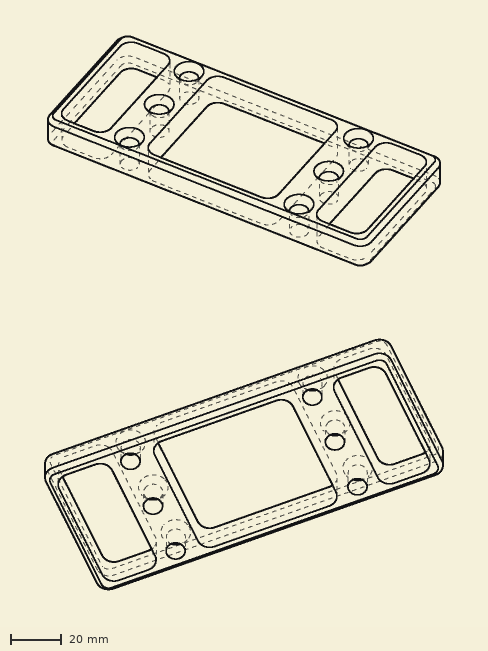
import cadquery as cq

length = 148.3
width = 62.0
thickness = 14.0
corner_radius = 5.0
edge_chamfer = 2.0

rim = 4.0
window_corner_radius = 5.0
window_width = width - 2 * rim
window_spans = [
    (rim - length / 2, -48.2),
    (-30.3, 29.0),
    (47.5, length / 2 - rim),
]

hole_diameter = 7.5
countersink_diameter = 11.7
countersink_angle = 60
hole_spacing_x = 78.2
hole_spacing_y = 23.0


def frame_block():
    """Rounded plate with chamfered top and bottom outer edges."""
    block = cq.Workplane("XY").box(length, width, thickness)
    block = block.edges("|Z").fillet(corner_radius)
    return block.faces("<Z or >Z").edges().chamfer(edge_chamfer)


def window(left, right):
    """Rounded rectangular cutter passing through the plate."""
    cutter = cq.Workplane("XY").box(right - left, window_width, thickness)
    cutter = cutter.edges("|Z").fillet(window_corner_radius)
    return cutter.translate(((left + right) / 2, 0, 0))


def add_screw_holes(plate):
    """Drill both rows of holes, countersunk from the top."""
    return (
        plate.faces(">Z").workplane(origin=(0, 0, 0))
        .rarray(hole_spacing_x, hole_spacing_y, 2, 3)
        .cskHole(hole_diameter, countersink_diameter, countersink_angle)
    )


frame = frame_block()
for left_side, right_side in window_spans:
    frame = frame.cut(window(left_side, right_side))

result = add_screw_holes(frame)